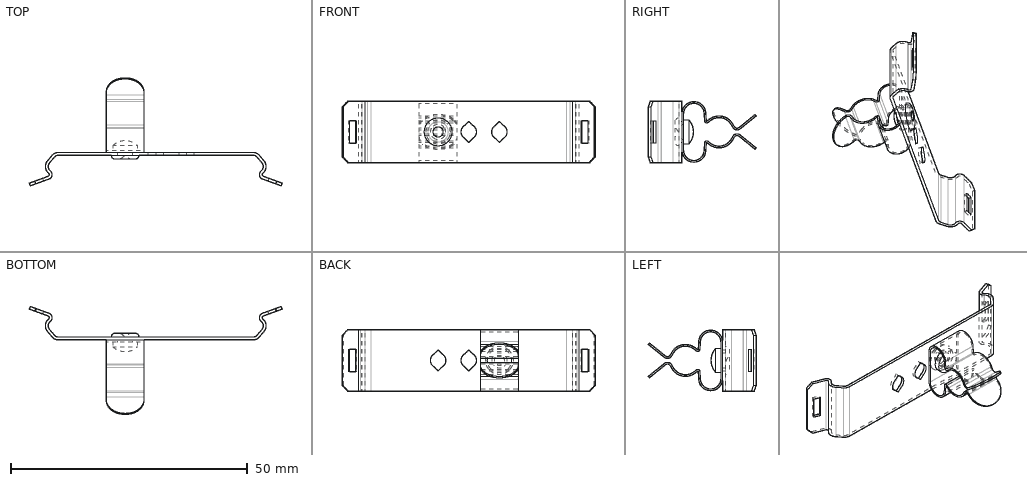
import cadquery as cq
import math

strip_height = 13.0
strip_thickness = 0.65
strip_half_length = 26.7
shoulder_x = 21.2
knee_x, knee_y = 23.55, -3.1
heel_x, heel_y = 21.55, -4.95
tab_angle = 20.0
shoulder_radius = 1.35
knee_radius = 1.5
heel_radius = 0.7
tab_corner = 1.25

slot_length = 4.7
slot_width = 1.55
slot_x = 24.5

hole_pitch = 6.45
hole_radius = 1.6
notch_reach = 2.2

clip_x = -hole_pitch
clip_width = 8.0
clip_thickness = 0.4
lobe_depth = 4.55
lobe_reach = 6.4
lobe_top_z = lobe_reach - clip_thickness / 2
neck_y, neck_z = 5.0, 1.8
neck_radius = 0.25
grip_y, grip_z = 8.75, 4.75
grip_radius = 3.15
throat_y, throat_z = 11.4, 0.15
throat_radius = 0.85
flap_tip_y, flap_tip_z = 15.6, 3.5
flap_corner_radius = 3.85

shank_radius = hole_radius
head_radius = 2.95
head_height = 0.8
dimple_radius = 1.05
dimple_depth = 0.75
tail_radius = 2.55
tail_length = 1.05
dome_height = 1.0

shortest_line = 5.34e-07
cut_length = 4 * strip_thickness


def bent_path(corners, radii):
    """Planar line through the corners, with an arc of the given radius at each inner corner."""
    points = [cq.Vector(*corner) for corner in corners]
    edges = []
    start = points[0]
    for before, corner, after, radius in zip(points, points[1:], points[2:], radii):
        back = (before - corner).normalized()
        ahead = (after - corner).normalized()
        half_angle = back.getAngle(ahead) / 2
        tangent_length = radius / math.tan(half_angle)
        arc_middle_offset = radius / math.sin(half_angle) - radius
        arc_start = corner + back * tangent_length
        arc_middle = corner + (back + ahead).normalized() * arc_middle_offset
        arc_end = corner + ahead * tangent_length
        if (arc_start - start).Length > shortest_line:
            edges.append(cq.Edge.makeLine(start, arc_start))
        edges.append(cq.Edge.makeThreePointArc(arc_start, arc_middle, arc_end))
        start = arc_end
    edges.append(cq.Edge.makeLine(start, points[-1]))
    return cq.Wire.assembleEdges(edges)


def bent_sheet(corners, radii, thickness, width, width_direction):
    """Sheet of constant thickness whose mid-plane follows the bent path."""
    start = cq.Vector(*corners[0])
    along = cq.Vector(*corners[1]) - start
    section = cq.Plane(origin=start, xDir=width_direction, normal=along)
    path = cq.Workplane(obj=bent_path(corners, radii))
    return cq.Workplane(section).rect(width, thickness).sweep(path).clean()


def shank_hole():
    return cq.Workplane("XZ").center(clip_x, 0).circle(shank_radius).extrude(cut_length, both=True)


def mounting_hole(x):
    round_part = cq.Workplane("XZ").center(x, 0).circle(hole_radius).extrude(cut_length, both=True)
    flank_end = notch_reach / 2
    notches = (
        cq.Workplane("XZ")
        .center(x, 0)
        .polyline([
            (0, notch_reach),
            (flank_end, flank_end),
            (flank_end, -flank_end),
            (0, -notch_reach),
            (-flank_end, -flank_end),
            (-flank_end, flank_end),
        ])
        .close()
        .extrude(cut_length, both=True)
    )
    return round_part.union(notches)


def make_strip():
    tip_x = strip_half_length - strip_thickness / 2 * math.sin(math.radians(tab_angle))
    tip_y = heel_y - (tip_x - heel_x) * math.tan(math.radians(tab_angle))
    right_half = [
        (shoulder_x, -strip_thickness / 2, 0),
        (knee_x, knee_y, 0),
        (heel_x, heel_y, 0),
        (tip_x, tip_y, 0),
    ]
    left_half = [(-x, y, z) for x, y, z in reversed(right_half)]
    half_radii = [shoulder_radius, knee_radius, heel_radius]
    radii = half_radii[::-1] + half_radii
    strip = bent_sheet(left_half + right_half, radii, strip_thickness, strip_height, (0, 0, 1))

    for end_x in (-tip_x, tip_x):
        for edge_z in (-strip_height / 2, strip_height / 2):
            tab_edge = cq.selectors.NearestToPointSelector((end_x, tip_y, edge_z))
            strip = strip.edges(tab_edge).chamfer(tab_corner)

    slot_y = heel_y - (slot_x - heel_x) * math.tan(math.radians(tab_angle))
    slot = cq.Workplane("XY").box(slot_width, cut_length, slot_length)
    for side in (-1, 1):
        tilted_slot = slot.rotate((0, 0, 0), (0, 0, 1), -side * tab_angle)
        strip = strip.cut(tilted_slot.translate((side * slot_x, slot_y, 0)))
    for x in (0, hole_pitch):
        strip = strip.cut(mounting_hole(x))
    return strip.cut(shank_hole())


def make_clip():
    base_y = clip_thickness / 2
    lobe_y = base_y + lobe_depth
    leg_lean = math.atan2(neck_y - lobe_y, lobe_top_z - neck_z)
    lobe_radius = lobe_depth / (1 + math.tan(math.pi / 4 - leg_lean / 2))
    upper_half = [
        (clip_x, base_y, lobe_top_z),
        (clip_x, lobe_y, lobe_top_z),
        (clip_x, neck_y, neck_z),
        (clip_x, grip_y, grip_z),
        (clip_x, throat_y, throat_z),
        (clip_x, flap_tip_y, flap_tip_z),
    ]
    lower_half = [(x, y, -z) for x, y, z in reversed(upper_half)]
    half_radii = [lobe_radius, lobe_radius, neck_radius, grip_radius, throat_radius]
    radii = half_radii[::-1] + half_radii
    clip = bent_sheet(lower_half + upper_half, radii, clip_thickness, clip_width, (1, 0, 0))

    for tip_z in (-flap_tip_z, flap_tip_z):
        for edge_x in (clip_x - clip_width / 2, clip_x + clip_width / 2):
            flap_corner = cq.selectors.NearestToPointSelector((edge_x, flap_tip_y, tip_z))
            clip = clip.edges(flap_corner).fillet(flap_corner_radius)
    return clip.cut(shank_hole())


def make_rivet():
    head_seat = -strip_thickness
    head_front = head_seat - head_height
    tail_start = clip_thickness
    dome_start = tail_start + tail_length
    dome_top = dome_start + dome_height
    dome_radius = (tail_radius**2 + dome_height**2) / (2 * dome_height)
    half_rise = math.asin(tail_radius / dome_radius) / 2
    dome_middle = (
        dome_radius * math.sin(half_rise),
        dome_top - dome_radius * (1 - math.cos(half_rise)),
    )
    flat_radius = head_radius - head_height
    round_middle = (
        flat_radius + head_height * math.sqrt(0.5),
        head_seat - head_height * math.sqrt(0.5),
    )
    return (
        cq.Workplane("XY")
        .moveTo(0, head_front + dimple_depth)
        .lineTo(dimple_radius, head_front)
        .lineTo(flat_radius, head_front)
        .threePointArc(round_middle, (head_radius, head_seat))
        .lineTo(shank_radius, head_seat)
        .lineTo(shank_radius, tail_start)
        .lineTo(tail_radius, tail_start)
        .lineTo(tail_radius, dome_start)
        .threePointArc(dome_middle, (0, dome_top))
        .close()
        .revolve(360, (0, 0, 0), (0, 1, 0))
        .translate((clip_x, 0, 0))
    )


strip = make_strip()
clip = make_clip()
rivet = make_rivet()

result = cq.Compound.makeCompound([strip.val(), clip.val(), rivet.val()])